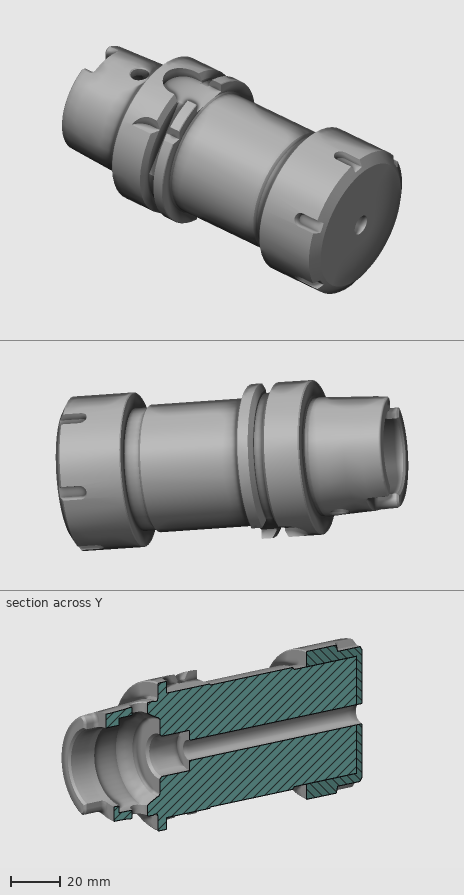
import cadquery as cq
import math


overall_length = 135.12

shank_length = 32.0
taper_ratio = 9.98
shank_end_round = 1.0
taper_big_dia = 48.67
taper_big_x = -2.25
relief_dia = 48.04
relief_start_x = -1.45
relief_end_x = -0.4
relief_root_dia = 50.29

bore_dia = 34.0
bore_mouth_chamfer = 0.9
bore_end_x = -19.4
undercut_dia = 40.0
undercut_end_x = -6.2
inner_bore_dia = 33.48
bore_floor_dia = 30.99
bore_floor_x = 1.0
coolant_seat_dia = 16.92
coolant_seat_mouth_dia = 19.02
coolant_seat_depth = 15.0
coolant_hole_dia = 8.4

drive_slot_width = 12.54
drive_slot_depths = {1: 5.8, -1: 9.85}
drive_slot_straight_z = 18.1
drive_slot_flare = 3.0
drive_slot_floor_round = 1.6
drive_slot_mouth_chamfer = 0.8
clamp_hole_x = -9.1
clamp_hole_dia = 7.5
clamp_hole_mouth_dia = 8.4

flange_dia = 63.0
flange_length = 26.0
flange_front_chamfer = 0.5
flange_back_chamfer = 0.3
groove_dia = 55.0
groove_center_x = 18.0
groove_width = 3.6
groove_side_width = 1.6
groove_side_angle = 60.0

keyway_width = 16.5
keyway_floor_z = 26.5
keyway_center_x = 12.8
notch_offset = 20.1
notch_cutter_radius = 8.0
notch_center_x = 12.0
flat_end_z = 1.8

body_dia = 52.0
body_root_chamfer = 0.7
body_end_x = 69.0
spigot_dia = 50.0

nut_dia = 63.0
nut_start_x = 74.9
nut_end_x = overall_length - shank_length
nut_rear_chamfer = 0.4
nut_cone_x = 100.35
nut_face_dia = 54.2
nut_slot_count = 6
nut_slot_floor_radius = 28.7
nut_slot_floor_width = 4.3
nut_slot_taper = 15.0
nut_slot_center_x = 93.0

clearance = 10.0


def revolved(outline):
    """Solid of revolution about X from a list of (x, radius) points."""
    return cq.Workplane("XY").polyline(outline).close().revolve(360, (0, 0, 0), (1, 0, 0))


def box_between(low, high):
    """Axis-aligned box between two opposite corners."""
    size = [b - a for a, b in zip(low, high)]
    return cq.Workplane("XY").box(*size, centered=False).translate(low)


def holder_blank():
    """Turned outside of the shank, flange, body and spigot."""
    tip_x = -shank_length
    tip_r = (taper_big_dia - (taper_big_x - tip_x) / taper_ratio) / 2
    flange_r = flange_dia / 2
    groove_r = groove_dia / 2
    side_r = flange_r - groove_side_width * math.tan(math.radians(groove_side_angle))
    groove_left = groove_center_x - groove_width / 2
    groove_right = groove_center_x + groove_width / 2
    body_r = body_dia / 2
    spigot_r = spigot_dia / 2
    blank = revolved([
        (tip_x, 0),
        (tip_x, tip_r),
        (taper_big_x, taper_big_dia / 2),
        (relief_start_x, relief_dia / 2),
        (relief_end_x, relief_dia / 2),
        (0, relief_root_dia / 2),
        (0, flange_r - flange_front_chamfer),
        (flange_front_chamfer, flange_r),
        (groove_left - groove_side_width, flange_r),
        (groove_left, side_r),
        (groove_left, groove_r),
        (groove_right, groove_r),
        (groove_right, side_r),
        (groove_right + groove_side_width, flange_r),
        (flange_length - flange_back_chamfer, flange_r),
        (flange_length, flange_r - flange_back_chamfer),
        (flange_length, body_r + body_root_chamfer),
        (flange_length + body_root_chamfer, body_r),
        (body_end_x - (body_r - spigot_r), body_r),
        (body_end_x, spigot_r),
        (nut_cone_x, spigot_r),
        (nut_cone_x, 0),
    ])
    return blank.faces("<X").edges().fillet(shank_end_round)


def holder_bore():
    """Undercut shank bore that narrows to a rounded floor, coolant tube seat and through hole."""
    tip_x = -shank_length
    floor_round = (inner_bore_dia - bore_floor_dia) / 2
    seat_chamfer = (coolant_seat_mouth_dia - coolant_seat_dia) / 2
    seat_end_x = bore_floor_x + coolant_seat_depth
    profile = (
        cq.Workplane("XY")
        .moveTo(tip_x, 0)
        .lineTo(tip_x, bore_dia / 2 + bore_mouth_chamfer)
        .lineTo(tip_x + bore_mouth_chamfer, bore_dia / 2)
        .lineTo(bore_end_x, bore_dia / 2)
        .lineTo(bore_end_x, undercut_dia / 2)
        .lineTo(undercut_end_x, undercut_dia / 2)
        .lineTo(bore_floor_x - floor_round, inner_bore_dia / 2)
        .radiusArc((bore_floor_x, bore_floor_dia / 2), floor_round)
        .lineTo(bore_floor_x, coolant_seat_mouth_dia / 2)
        .lineTo(bore_floor_x + seat_chamfer, coolant_seat_dia / 2)
        .lineTo(seat_end_x, coolant_seat_dia / 2)
        .lineTo(seat_end_x, coolant_hole_dia / 2)
        .lineTo(nut_cone_x, coolant_hole_dia / 2)
        .lineTo(nut_cone_x, 0)
        .close()
    )
    return profile.revolve(360, (0, 0, 0), (1, 0, 0))


def drive_slot_outline(workplane, half_width):
    """Slot section: straight walls that flare outwards through an arc of fixed centre."""
    flare_center_y = drive_slot_width / 2 + drive_slot_flare
    flare = flare_center_y - half_width
    flare_top_z = drive_slot_straight_z + flare
    outer_z = drive_slot_straight_z + clearance
    return (
        workplane
        .moveTo(-half_width, 0)
        .lineTo(-half_width, drive_slot_straight_z)
        .radiusArc((-flare_center_y, flare_top_z), -flare)
        .lineTo(-flare_center_y, outer_z)
        .lineTo(flare_center_y, outer_z)
        .lineTo(flare_center_y, flare_top_z)
        .radiusArc((half_width, drive_slot_straight_z), -flare)
        .lineTo(half_width, 0)
        .close()
    )


def drive_slot(side):
    """One slot across the shank end; side is +1 for +Z and -1 for -Z."""
    plane = cq.Workplane("YZ", origin=(-shank_length, 0, 0))
    half_width = drive_slot_width / 2
    depth = drive_slot_depths[side]
    slot = drive_slot_outline(plane, half_width).extrude(depth)
    slot = rounded_floor(slot)
    mouth = drive_slot_outline(plane, half_width + drive_slot_mouth_chamfer)
    slot = slot.union(mouth.extrude(drive_slot_mouth_chamfer, taper=45))
    if side < 0:
        slot = slot.rotate((0, 0, 0), (1, 0, 0), 180)
    return slot


def rounded_floor(slot):
    """Round the edges between the slot floor and its two flared walls."""
    walls = slot.faces(">X").edges(cq.selectors.BoxSelector(
        (-shank_length, -drive_slot_width, drive_slot_straight_z / 4),
        (clearance, drive_slot_width, drive_slot_straight_z + drive_slot_flare),
    ))
    return walls.fillet(drive_slot_floor_round)


def add_clamp_hole(body):
    """Drill the radial hole through the shank along Z and chamfer both of its mouths."""
    shank_r = taper_big_dia / 2
    drill = (
        cq.Workplane("XY", origin=(clamp_hole_x, 0, 0))
        .circle(clamp_hole_dia / 2)
        .extrude(shank_r, both=True)
    )
    near, far = -clamp_hole_dia, clamp_hole_dia
    upper_mouth = cq.selectors.BoxSelector(
        (clamp_hole_x + near, near, undercut_dia / 2),
        (clamp_hole_x + far, far, shank_r),
    )
    lower_mouth = cq.selectors.BoxSelector(
        (clamp_hole_x + near, near, -shank_r),
        (clamp_hole_x + far, far, -undercut_dia / 2),
    )
    mouth_chamfer = (clamp_hole_mouth_dia - clamp_hole_dia) / 2
    return body.cut(drill).edges(upper_mouth + lower_mouth).chamfer(mouth_chamfer)


def keyway(side):
    """Flat-floored, round-ended keyway in the flange, open towards the body."""
    half_width = keyway_width / 2
    key = (
        cq.Workplane("XY", origin=(0, 0, side * keyway_floor_z))
        .moveTo(flange_length, -half_width)
        .lineTo(keyway_center_x, -half_width)
        .threePointArc((keyway_center_x - half_width, 0), (keyway_center_x, half_width))
        .lineTo(flange_length, half_width)
        .close()
        .extrude(side * clearance)
    )
    return key


def orientation_notch():
    """Right-angled notch at the -Y +Z side of the flange with a round cutter run-out."""
    axis_y = -notch_offset - notch_cutter_radius
    cutter = (
        cq.Workplane("XY", origin=(notch_center_x, axis_y, notch_offset))
        .circle(notch_cutter_radius)
        .extrude(clearance)
    )
    run = box_between(
        (notch_center_x, axis_y, notch_offset),
        (flange_length, -notch_offset, notch_offset + clearance),
    )
    return cutter.union(run)


def groove_flat():
    """Flat on the groove floor from the keyway edge to just above the -Y side."""
    groove_r = groove_dia / 2
    start = (-math.sqrt(groove_r**2 - keyway_floor_z**2), keyway_floor_z)
    end = (-math.sqrt(groove_r**2 - flat_end_z**2), flat_end_z)
    return (
        cq.Workplane("YZ", origin=(groove_center_x - groove_width / 2, 0, 0))
        .moveTo(*start)
        .lineTo(*end)
        .lineTo(-flange_dia / 2, flat_end_z)
        .lineTo(-flange_dia / 2, keyway_floor_z)
        .close()
        .extrude(groove_width)
    )


def make_holder():
    """Tool holder: hollow taper shank, flange, body and nut spigot."""
    body = add_clamp_hole(holder_blank()).cut(holder_bore())
    for side in (1, -1):
        body = body.cut(drive_slot(side)).cut(keyway(side))
    return body.cut(orientation_notch()).cut(groove_flat())


def nut_slot():
    """Round-ended spanner slot with sloped walls, at the +Z side of the nut."""
    run = nut_end_x - nut_slot_center_x + clearance
    half_width = nut_slot_floor_width / 2
    depth = nut_dia / 2 - nut_slot_floor_radius + clearance
    return (
        cq.Workplane("XY", origin=(nut_slot_center_x, 0, nut_slot_floor_radius))
        .moveTo(run, -half_width)
        .lineTo(0, -half_width)
        .threePointArc((-half_width, 0), (0, half_width))
        .lineTo(run, half_width)
        .close()
        .extrude(depth, taper=-nut_slot_taper)
    )


def make_nut():
    """Collet nut: cup that closes over the spigot, with spanner slots around its front."""
    nut_r = nut_dia / 2
    hole_r = coolant_hole_dia / 2
    nut = revolved([
        (nut_start_x, spigot_dia / 2),
        (nut_start_x, nut_r - nut_rear_chamfer),
        (nut_start_x + nut_rear_chamfer, nut_r),
        (nut_cone_x, nut_r),
        (nut_end_x, nut_face_dia / 2),
        (nut_end_x, hole_r),
        (nut_cone_x, hole_r),
        (nut_cone_x, spigot_dia / 2),
    ])
    for index in range(nut_slot_count):
        angle = index * 360 / nut_slot_count
        nut = nut.cut(nut_slot().rotate((0, 0, 0), (1, 0, 0), angle))
    return nut


holder = make_holder()
nut = make_nut()
result = cq.Compound.makeCompound([holder.val(), nut.val()])